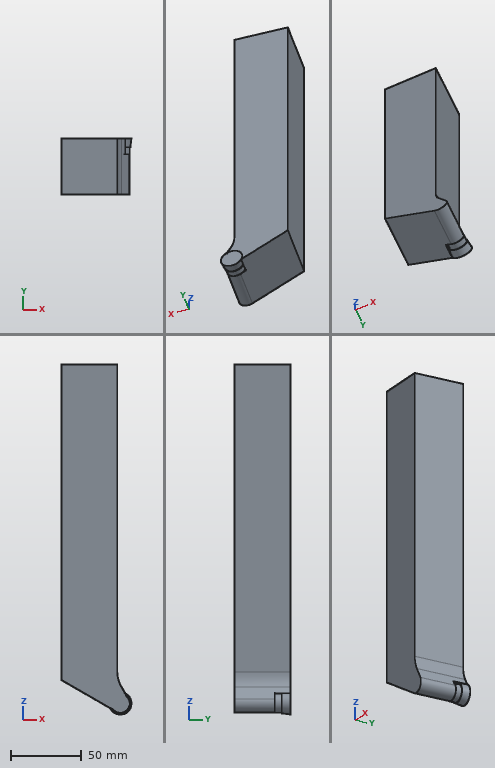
import cadquery as cq
import math

overall_width = 50.08
shank_width = 40.0
shank_depth = 40.0
overall_length = 250.08

insert_radius = 16.0 / 2
insert_thickness = 6.35
insert_clearance = math.radians(7)
insert_seat_radius = insert_radius - insert_thickness * math.tan(insert_clearance)

nose_radius = 6.65
pedestal_radius = 13.55 / 2
pedestal_height = 4.76
nose_x = overall_width - insert_radius
nose_z = insert_radius

lower_flank_normal = math.radians(240)
upper_flank_normal = math.radians(30)
neck_fillet = 21.0


def nose_point(angle):
    """Point of the nose arc whose outward normal has the given angle."""
    return (nose_x + nose_radius * math.cos(angle), nose_z + nose_radius * math.sin(angle))


def flank_height(angle, x):
    """Height at x of the straight flank that touches the nose at the given angle."""
    touch_x, touch_z = nose_point(angle)
    return touch_z - (x - touch_x) / math.tan(angle)


def round_bar(y_from, y_to, radius_from, radius_to):
    """Cylinder or cone along Y, centred on the nose."""
    return (
        cq.Workplane("XY")
        .polyline([(0, y_from), (radius_from, y_from), (radius_to, y_to), (0, y_to)])
        .close()
        .revolve(360, (0, 0), (0, 1))
        .translate((nose_x, 0, nose_z))
    )


seat_y = shank_depth - insert_thickness
pocket_floor_y = seat_y - pedestal_height


def make_holder():
    """Square shank with a rounded nose, pocketed around the insert and its round pedestal."""
    nose_middle = (lower_flank_normal + upper_flank_normal) / 2 + math.pi
    neck_z = flank_height(upper_flank_normal, shank_width)
    outline = (
        cq.Workplane("XZ")
        .moveTo(0, overall_length)
        .lineTo(0, flank_height(lower_flank_normal, 0))
        .lineTo(*nose_point(lower_flank_normal))
        .threePointArc(nose_point(nose_middle), nose_point(upper_flank_normal))
        .lineTo(shank_width, neck_z)
        .lineTo(shank_width, overall_length)
        .close()
    )
    blank = outline.extrude(-shank_depth)
    neck_edge = cq.selectors.NearestToPointSelector((shank_width, shank_depth / 2, neck_z))
    blank = blank.edges("|Y").edges(neck_edge).fillet(neck_fillet)

    pocket = round_bar(pocket_floor_y, shank_depth, insert_radius, insert_radius)
    pedestal = round_bar(pocket_floor_y, seat_y, pedestal_radius, pedestal_radius)
    return blank.cut(pocket).union(pedestal).solids()


def make_insert():
    """Round insert, flush with the +Y face of the shank."""
    return round_bar(seat_y, shank_depth, insert_seat_radius, insert_radius)


holder = make_holder()
insert = make_insert()

result = cq.Compound.makeCompound([holder.val(), insert.val()])